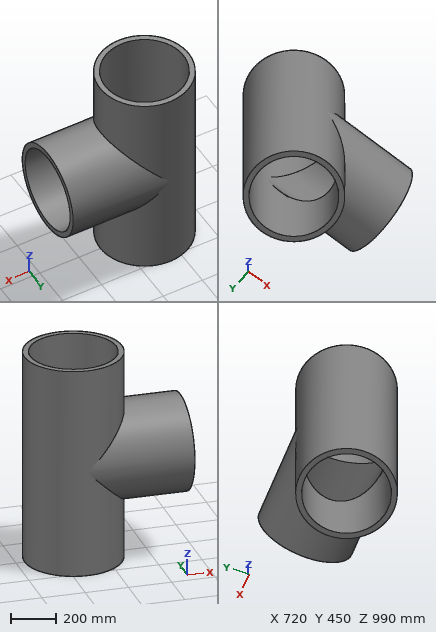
import cadquery as cq

run_length = 990.0
outer_diameter = 450.0
wall = 27.0
branch_reach = run_length / 2
inner_diameter = outer_diameter - 2 * wall


def tee_solid(diameter):
    """Solid run and branch cylinders of one diameter, joined at the origin."""
    run = cq.Workplane("XY").circle(diameter / 2).extrude(run_length / 2, both=True)
    branch = cq.Workplane("YZ").circle(diameter / 2).extrude(branch_reach)
    return run.union(branch)


result = tee_solid(outer_diameter).cut(tee_solid(inner_diameter))